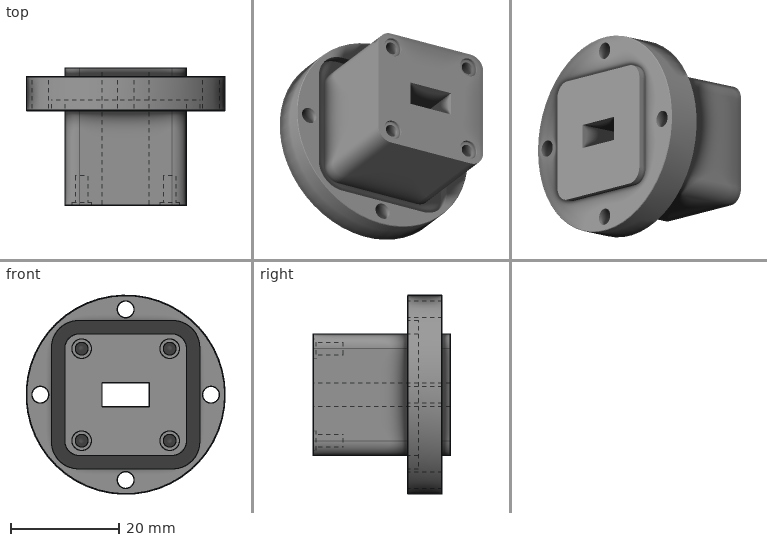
import cadquery as cq

flange_diameter = 36.83
flange_thickness = 6.37
flange_edge_chamfer = 0.1

body_length = 25.4
body_side = 22.5
body_corner_radius = 2.73
body_rear_overhang = 1.55

pocket_side = 27.45
pocket_corner_radius = 5.0
pocket_depth = 2.0

window_width = 8.7
window_height = 4.4

mount_hole_diameter = 3.05
mount_circle_diameter = 31.55
mount_hole_count = 4

screw_spacing_x = 16.28
screw_spacing_z = 17.0
screw_hole_diameter = 2.35
screw_hole_depth = 5.52
counterbore_diameter = 3.6
counterbore_depth = 0.5

body_front = -body_length / 2
body_rear = body_length / 2
flange_rear = body_rear - body_rear_overhang
flange_front = flange_rear - flange_thickness


def section_at(y):
    """Workplane at station y, facing -Y: its X is +X and its Y is +Z."""
    return cq.Workplane("XZ", origin=(0, y, 0))


def rounded_square_bar(side, corner_radius, front, length):
    """Square bar with rounded long edges, reaching from front towards +Y."""
    return section_at(front).rect(side, side).extrude(-length).edges("|Y").fillet(corner_radius)


def make_flange():
    """Chamfered disc with a blind pocket in front and a circle of through holes."""
    disc = section_at(flange_front).circle(flange_diameter / 2).extrude(-flange_thickness)
    disc = disc.edges().chamfer(flange_edge_chamfer)
    pocket = rounded_square_bar(pocket_side, pocket_corner_radius, flange_front, pocket_depth)
    holes = (
        section_at(flange_front)
        .polarArray(mount_circle_diameter / 2, 0, 360, mount_hole_count)
        .circle(mount_hole_diameter / 2)
        .extrude(-flange_thickness)
    )
    return disc.cut(pocket).cut(holes)


def make_screw_holes():
    """Blind holes with shallow counterbores at the four corners of the front face."""
    corners = section_at(body_front).rarray(screw_spacing_x, screw_spacing_z, 2, 2)
    holes = corners.circle(screw_hole_diameter / 2).extrude(-screw_hole_depth)
    counterbores = corners.circle(counterbore_diameter / 2).extrude(-counterbore_depth)
    return holes.union(counterbores)


body = rounded_square_bar(body_side, body_corner_radius, body_front, body_length)
window = section_at(body_front).rect(window_width, window_height).extrude(-body_length)

result = make_flange().union(body).cut(make_screw_holes()).cut(window)